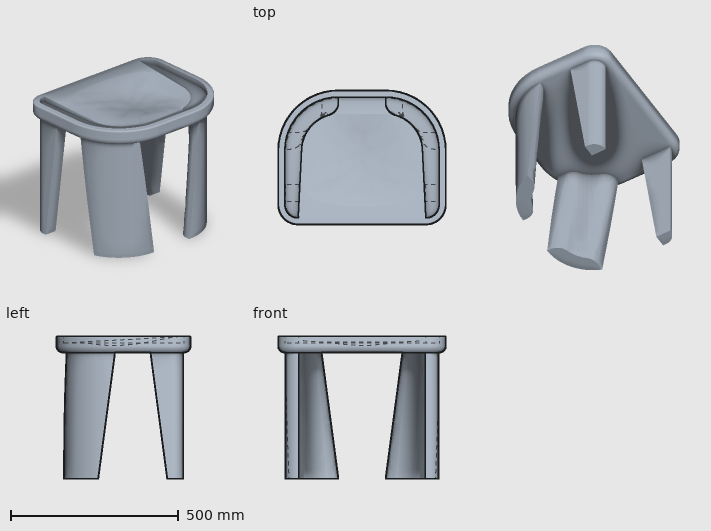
import cadquery as cq
import math

WIDTH = 500.0
DEPTH = 400.0
HEIGHT = 425.0
PLATE_THICKNESS = 49.0
UNDERSIDE_Z = HEIGHT - PLATE_THICKNESS

FRONT_CORNER_RADIUS = 60.0
REAR_CORNER_RADIUS = 180.0
REAR_ARC_X = WIDTH / 2 - REAR_CORNER_RADIUS
REAR_ARC_Y = DEPTH / 2 - REAR_CORNER_RADIUS
TOP_EDGE_FILLET = 5.0
BOTTOM_EDGE_FILLET = 20.0

RIM_WIDTH = 20.0
TRAY_DEPTH = 20.0
FLOOR_Z = HEIGHT - TRAY_DEPTH
TRAY_FRONT_Y = -DEPTH / 2 + RIM_WIDTH
TRAY_REAR_Y = DEPTH / 2 - RIM_WIDTH

PANEL_REAR_RADIUS = 110.0
PANEL_SIDE_X = REAR_ARC_X + PANEL_REAR_RADIUS
PANEL_REAR_Y = REAR_ARC_Y + PANEL_REAR_RADIUS
PANEL_FRONT_X = WIDTH / 2 - FRONT_CORNER_RADIUS
PANEL_NECK_FILLET = 40.0
PANEL_EMBED = 5.0

DISH_FRONT_Y = -148.0
DISH_FRONT_RADIUS = 500.0
DISH_CORNER_RADIUS = 75.0
DISH_LOW_Y = 60.0
DISH_LOW_DEPTH = 13.0
DISH_FRONT_SIDE_X = 125.0
DISH_FRONT_SIDE_Y = -75.0
DISH_FRONT_SIDE_DEPTH = 4.0
DISH_LID_CLEARANCE = 0.01

LEG_INSET = 22.0
LEG_EMBED = 10.0
LEG_TOP_Z = UNDERSIDE_Z + LEG_EMBED
LEG_TAPER = 50.0
FRONT_LEG_THICKNESS = 40.0
FRONT_LEG_FOOT_Y = -130.0
REAR_LEG_THICKNESS = 47.0
REAR_LEG_FOOT_Y = 75.0
REAR_LEG_FOOT_X = REAR_ARC_X
REAR_LEG_SIDE_FILLET = 45.0
REAR_LEG_BACK_FILLET = 40.0

LARGE = 2 * WIDTH


def plate_prism(inset, bottom_z, top_z):
    """Prism over the plate outline moved inwards by `inset`."""
    half_width = WIDTH / 2 - inset
    half_depth = DEPTH / 2 - inset
    box = (
        cq.Workplane("XY")
        .workplane(offset=bottom_z)
        .rect(2 * half_width, 2 * half_depth)
        .extrude(top_z - bottom_z)
    )
    box = box.edges("|Z and <Y").fillet(FRONT_CORNER_RADIUS - inset)
    return box.edges("|Z and >Y").fillet(REAR_CORNER_RADIUS - inset)


def panel_z(y):
    """Height of the sloping seat panel at depth position y."""
    return FLOOR_Z + TRAY_DEPTH * (TRAY_REAR_Y - y) / (TRAY_REAR_Y - TRAY_FRONT_Y)


def below_panel(x, y, depth):
    """Point the given depth under the seat panel."""
    return cq.Vector(x, y, panel_z(y) - depth)


def panel_slope():
    """Full-width body from the plate underside up to the plane of the seat panel."""
    return (
        cq.Workplane("YZ")
        .moveTo(TRAY_FRONT_Y, UNDERSIDE_Z)
        .lineTo(TRAY_FRONT_Y, HEIGHT)
        .lineTo(TRAY_REAR_Y, FLOOR_Z)
        .lineTo(TRAY_REAR_Y, UNDERSIDE_Z)
        .close()
        .extrude(WIDTH / 2, both=True)
    )


def make_plate():
    """Rounded seat plate with the tray sunk into its top."""
    plate = plate_prism(0, UNDERSIDE_Z, HEIGHT)
    plate = plate.faces("<Z").edges().fillet(BOTTOM_EDGE_FILLET)
    plate = plate.faces(">Z").edges().fillet(TOP_EDGE_FILLET)
    return plate.cut(plate_prism(RIM_WIDTH, FLOOR_Z, HEIGHT + TRAY_DEPTH))


def make_panel():
    """Wedge filling the middle of the tray, with a neck reaching the rear rim."""
    centre_distance = PANEL_REAR_RADIUS + PANEL_NECK_FILLET
    fillet_y = REAR_ARC_Y + math.sqrt(centre_distance**2 - PANEL_NECK_FILLET**2)
    touch = PANEL_REAR_RADIUS / centre_distance
    touch_x = REAR_ARC_X + touch * PANEL_NECK_FILLET
    touch_y = REAR_ARC_Y + touch * (fillet_y - REAR_ARC_Y)
    half_plan = (
        cq.Workplane("XY")
        .workplane(offset=FLOOR_Z - PANEL_EMBED)
        .moveTo(0, TRAY_FRONT_Y)
        .lineTo(PANEL_FRONT_X, TRAY_FRONT_Y)
        .lineTo(PANEL_SIDE_X, REAR_ARC_Y)
        .radiusArc((touch_x, touch_y), -PANEL_REAR_RADIUS)
        .radiusArc((REAR_ARC_X, fillet_y), PANEL_NECK_FILLET)
        .lineTo(REAR_ARC_X, TRAY_REAR_Y)
        .lineTo(0, TRAY_REAR_Y)
        .close()
        .extrude(TRAY_DEPTH + PANEL_EMBED)
    )
    return half_plan.union(half_plan.mirror("YZ")).intersect(panel_slope())


def make_dish():
    """Lens-shaped cutter between the panel plane and a smooth dished surface."""
    front_arc_rise = DISH_FRONT_RADIUS - math.sqrt(DISH_FRONT_RADIUS**2 - PANEL_FRONT_X**2)
    front_side_y = DISH_FRONT_Y + front_arc_rise
    side_slope = (PANEL_FRONT_X - PANEL_SIDE_X) / (REAR_ARC_Y - TRAY_FRONT_Y)
    front_side_x = PANEL_SIDE_X + side_slope * (REAR_ARC_Y - front_side_y)
    prism = (
        cq.Workplane("XY")
        .workplane(offset=UNDERSIDE_Z)
        .moveTo(-front_side_x, front_side_y)
        .threePointArc((0, DISH_FRONT_Y), (front_side_x, front_side_y))
        .lineTo(PANEL_SIDE_X, REAR_ARC_Y)
        .radiusArc((REAR_ARC_X, PANEL_REAR_Y), -PANEL_REAR_RADIUS)
        .lineTo(-REAR_ARC_X, PANEL_REAR_Y)
        .radiusArc((-PANEL_SIDE_X, REAR_ARC_Y), -PANEL_REAR_RADIUS)
        .close()
        .extrude(PLATE_THICKNESS)
    )
    prism = prism.edges("|Z").edges("<Y").fillet(DISH_CORNER_RADIUS)
    lid = prism.intersect(panel_slope()).faces(">Z").val()
    depth_points = [
        below_panel(0, DISH_LOW_Y, DISH_LOW_DEPTH),
        below_panel(DISH_FRONT_SIDE_X, DISH_FRONT_SIDE_Y, DISH_FRONT_SIDE_DEPTH),
        below_panel(-DISH_FRONT_SIDE_X, DISH_FRONT_SIDE_Y, DISH_FRONT_SIDE_DEPTH),
    ]
    bowl = cq.Face.makeNSidedSurface(lid.Edges(), depth_points)
    cutter = cq.Workplane(cq.Solid.makeSolid(cq.Shell.makeShell([lid, bowl])))
    return cutter.translate((0, 0, DISH_LID_CLEARANCE))


def make_front_leg():
    """Right front leg: a rounded outer corner and a sloping rear face."""
    outer_x = WIDTH / 2 - LEG_INSET
    front_y = -DEPTH / 2 + LEG_INSET
    inner_x = outer_x - FRONT_LEG_THICKNESS
    corner_radius = FRONT_CORNER_RADIUS - LEG_INSET
    foot_y = FRONT_LEG_FOOT_Y
    slope_top_y = foot_y + LEG_TAPER * LEG_TOP_Z / UNDERSIDE_Z
    column = (
        cq.Workplane("XY")
        .moveTo(inner_x, slope_top_y)
        .lineTo(inner_x, front_y)
        .lineTo(outer_x - corner_radius, front_y)
        .radiusArc((outer_x, front_y + corner_radius), -corner_radius)
        .lineTo(outer_x, slope_top_y)
        .close()
        .extrude(LEG_TOP_Z)
    )
    behind_slope = (
        cq.Workplane("YZ")
        .moveTo(foot_y, 0)
        .lineTo(slope_top_y, LEG_TOP_Z)
        .lineTo(slope_top_y, 0)
        .close()
        .extrude(LARGE)
    )
    return column.cut(behind_slope)


def edge_near(leg, x, y):
    """Edge of a leg whose centre is nearest to (x, y) at half the leg height."""
    return leg.edges(cq.selectors.NearestToPointSelector((x, y, LEG_TOP_Z / 2)))


def make_rear_leg():
    """Right rear leg: part of a ring around the corner centre, cut by two sloping planes."""
    outer_radius = REAR_CORNER_RADIUS - LEG_INSET
    inner_radius = outer_radius - REAR_LEG_THICKNESS
    top_shift = LEG_TAPER * LEG_TOP_Z / UNDERSIDE_Z
    ring = (
        cq.Workplane("XY")
        .center(REAR_ARC_X, REAR_ARC_Y)
        .circle(outer_radius)
        .circle(inner_radius)
        .extrude(LEG_TOP_Z)
    )
    behind_side_face = (
        cq.Workplane("YZ")
        .moveTo(REAR_LEG_FOOT_Y, 0)
        .lineTo(REAR_LEG_FOOT_Y - top_shift, LEG_TOP_Z)
        .lineTo(LARGE, LEG_TOP_Z)
        .lineTo(LARGE, 0)
        .close()
        .extrude(LARGE)
    )
    outside_back_face = (
        cq.Workplane("XZ")
        .moveTo(REAR_LEG_FOOT_X, 0)
        .lineTo(REAR_LEG_FOOT_X + top_shift, LEG_TOP_Z)
        .lineTo(LARGE, LEG_TOP_Z)
        .lineTo(LARGE, 0)
        .close()
        .extrude(-LARGE)
    )
    leg = ring.intersect(behind_side_face).intersect(outside_back_face)

    side_y = REAR_LEG_FOOT_Y - top_shift / 2
    side_x = REAR_ARC_X + math.sqrt(inner_radius**2 - (side_y - REAR_ARC_Y) ** 2)
    back_x = REAR_LEG_FOOT_X + top_shift / 2
    back_y = REAR_ARC_Y + math.sqrt(inner_radius**2 - (back_x - REAR_ARC_X) ** 2)
    leg = edge_near(leg, side_x, side_y).fillet(REAR_LEG_SIDE_FILLET)
    return edge_near(leg, back_x, back_y).fillet(REAR_LEG_BACK_FILLET)


def with_mirror(body):
    """The body together with its mirror image on the -X side."""
    return body.union(body.mirror("YZ"))


seat = make_plate().union(make_panel()).cut(make_dish())
stool = seat.union(with_mirror(make_front_leg())).union(with_mirror(make_rear_leg()))
result = cq.Workplane(stool.solids().val())